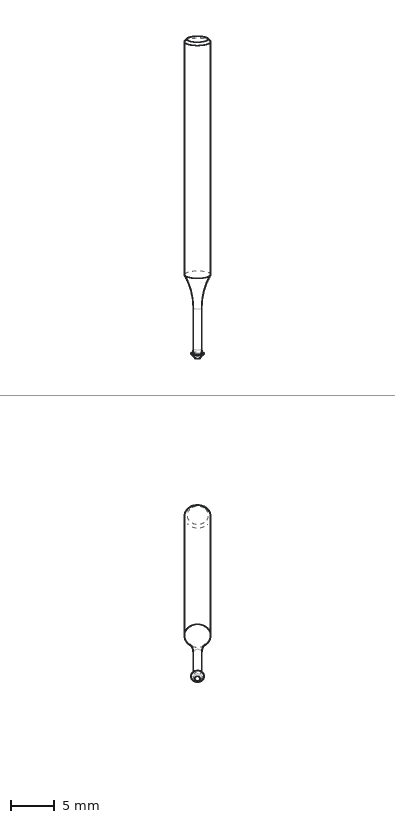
import cadquery as cq
import math

overall_length = 38.0
shank_radius = 1.5
shank_bottom_z = 9.95
shank_chamfer_height = 0.3
shank_chamfer_width = 0.3

neck_radius = 0.5
neck_top_z = 6.0
neck_bottom_z = 1.15

head_flare_radius = 0.55
head_flare_bottom_z = 0.8
collar_bottom_z = 0.6
rim_z = 0.55
rim_radius = 0.75
lower_cone_radius = 0.5
lower_cone_bottom_z = 0.3
tip_radius = 0.3


def tangent_arc_midpoint(start_radius, start_z, end_radius, end_z):
    """Midpoint of an arc that leaves the start point parallel to the tool axis."""
    rise = end_z - start_z
    spread = end_radius - start_radius
    arc_radius = (rise**2 + spread**2) / (2 * spread)
    half_angle = math.atan2(spread, abs(rise))
    mid_radius = start_radius + arc_radius * (1 - math.cos(half_angle))
    mid_z = start_z + math.copysign(arc_radius * math.sin(half_angle), rise)
    return (mid_radius, mid_z)


shank_flare_mid = tangent_arc_midpoint(neck_radius, neck_top_z, shank_radius, shank_bottom_z)
head_flare_mid = tangent_arc_midpoint(
    neck_radius, neck_bottom_z, head_flare_radius, head_flare_bottom_z
)

profile = (
    cq.Workplane("XZ")
    .moveTo(0, 0)
    .lineTo(tip_radius, 0)
    .lineTo(lower_cone_radius, lower_cone_bottom_z)
    .lineTo(rim_radius, rim_z)
    .lineTo(head_flare_radius, collar_bottom_z)
    .lineTo(head_flare_radius, head_flare_bottom_z)
    .threePointArc(head_flare_mid, (neck_radius, neck_bottom_z))
    .lineTo(neck_radius, neck_top_z)
    .threePointArc(shank_flare_mid, (shank_radius, shank_bottom_z))
    .lineTo(shank_radius, overall_length - shank_chamfer_height)
    .lineTo(shank_radius - shank_chamfer_width, overall_length)
    .lineTo(0, overall_length)
    .close()
)

result = profile.revolve(360, (0, 0, 0), (0, 1, 0))